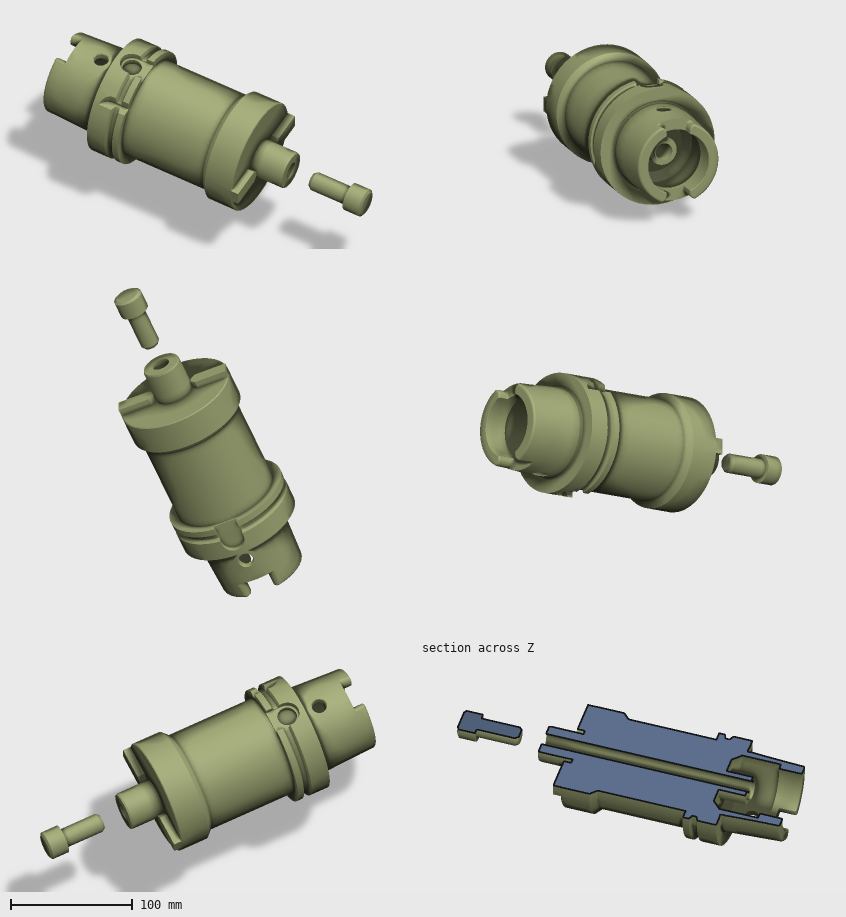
import cadquery as cq


SHANK_LENGTH = 50.0
TAPER_BIG_D = 75.3
TAPER_RATIO = 0.1
SHANK_TIP_FILLET = 2.0
NECK_LENGTH = 3.0

UNDERCUT_RAMP_LENGTH = 1.0
UNDERCUT_D = 74.7
UNDERCUT_FACE_DEPTH = 0.4
UNDERCUT_FACE_D = 78.8
UNDERCUT_FILLET = 1.4

BORE_D = 53.0
BORE_MOUTH_D = 53.8
BORE_LIP_LENGTH = 20.0
CHAMBER_D = 63.0
CHAMBER_FLOOR_D = 49.2
CHAMBER_FLOOR_X = 10.0

SPIGOT_D = 24.0
SPIGOT_SHOULDER_X = -12.8
SPIGOT_TIP_D = 16.5
SPIGOT_TIP_X = -15.3
THROUGH_BORE_D = 14.5

DRIVE_SLOT_WIDTH = 20.0
DRIVE_SLOT_MOUTH_R = 5.0
DRIVE_SLOT_FLOOR_FILLET = 1.6
DRIVE_SLOT_TIP_FILLET = 1.5
UPPER_DRIVE_SLOT_DEPTH = 10.0
LOWER_DRIVE_SLOT_DEPTH = 15.0
CROSS_HOLE_D = 12.0
CROSS_HOLE_X = -14.7
CROSS_HOLE_CHAMFER = 0.6

FLANGE_D = 100.0
FLANGE_LENGTH = 29.0
GROOVE_CENTRE_X = 20.1
GROOVE_D = 92.0
GROOVE_FLOOR_WIDTH = 3.6
GROOVE_MOUTH_WIDTH = 7.0

FLANGE_SLOT_WIDTH = 20.0
FLANGE_SLOT_END_X = 14.5
KEYWAY_FLOOR_Z = 44.0
CHIP_HOLE_D = 16.0
CHIP_HOLE_DEPTH = 5.0
NOTCH_WALL_Y = -31.5
NOTCH_FLOOR_Z = 31.5

BODY_D = 85.0
HEAD_D = 96.0
HEAD_X = 110.0
HEAD_END_X = 135.0
HEAD_CHAMFER = 0.7

PILOT_D = 31.75
PILOT_END_X = 164.5
PILOT_CHAMFER_LENGTH = 1.6
PILOT_CHAMFER_DEPTH = 0.6
PILOT_NECK_D = 31.35
PILOT_NECK_LENGTH = 2.0
KEY_WIDTH = 12.7
KEY_HEIGHT = 6.35
KEY_OUTER_Y = 47.6
KEY_INNER_Y = 16.6
KEY_INNER_CHAMFER = 4.0

SCREW_D = 16.0
SCREW_TIP_X = 184.5
SCREW_TIP_D = 12.0
SCREW_TIP_LENGTH = 2.7
SCREW_HEAD_D = 24.0
SCREW_HEAD_X = 220.0
SCREW_END_X = 236.0
SCREW_HEAD_CHAMFER_LENGTH = 1.6
SCREW_HEAD_CHAMFER_DEPTH = 2.4

EDGE_TOLERANCE = 0.1


def turned(profile):
    """Revolve a list of (x, diameter) corners about the X axis."""
    corners = [(x, diameter / 2) for x, diameter in profile]
    closed = [(corners[0][0], 0)] + corners + [(corners[-1][0], 0)]
    return cq.Workplane("XY").polyline(closed).close().revolve(360, (0, 0, 0), (1, 0, 0))


def box(x_range, y_range, z_range):
    """Box between the given limits along each axis."""
    sizes = [high - low for low, high in (x_range, y_range, z_range)]
    corner = (x_range[0], y_range[0], z_range[0])
    return cq.Workplane("XY").box(*sizes, centered=False).translate(corner)


def taper_d(x):
    """Diameter of the shank taper at X."""
    return TAPER_BIG_D + TAPER_RATIO * (x + NECK_LENGTH)


def is_undercut_corner(edge):
    """True for the inner corner at the bottom of the undercut."""
    if edge.geomType() != "CIRCLE" or edge.Center().x < 0:
        return False
    return abs(edge.radius() - UNDERCUT_D / 2) < EDGE_TOLERANCE


def tip_d():
    """Diameter of the taper at the shank's tip, before rounding."""
    return taper_d(-SHANK_LENGTH)


def turned_arbor():
    tip_x = -SHANK_LENGTH
    neck_end_x = PILOT_NECK_LENGTH + HEAD_END_X
    arbor = turned([
        (tip_x, tip_d()),
        (-NECK_LENGTH, TAPER_BIG_D),
        (UNDERCUT_RAMP_LENGTH - NECK_LENGTH, UNDERCUT_D),
        (UNDERCUT_FACE_DEPTH, UNDERCUT_D),
        (UNDERCUT_FACE_DEPTH, UNDERCUT_FACE_D - 2 * UNDERCUT_FACE_DEPTH),
        (0, UNDERCUT_FACE_D),
        (0, FLANGE_D),
        (GROOVE_CENTRE_X - GROOVE_MOUTH_WIDTH / 2, FLANGE_D),
        (GROOVE_CENTRE_X - GROOVE_FLOOR_WIDTH / 2, GROOVE_D),
        (GROOVE_CENTRE_X + GROOVE_FLOOR_WIDTH / 2, GROOVE_D),
        (GROOVE_CENTRE_X + GROOVE_MOUTH_WIDTH / 2, FLANGE_D),
        (FLANGE_LENGTH, FLANGE_D),
        (FLANGE_LENGTH, BODY_D),
        (HEAD_X - (HEAD_D - BODY_D) / 2, BODY_D),
        (HEAD_X, HEAD_D),
        (HEAD_END_X - HEAD_CHAMFER, HEAD_D),
        (HEAD_END_X, HEAD_D - 2 * HEAD_CHAMFER),
        (HEAD_END_X, PILOT_NECK_D),
        (neck_end_x, PILOT_NECK_D),
        (neck_end_x, PILOT_D),
        (PILOT_END_X - PILOT_CHAMFER_LENGTH, PILOT_D),
        (PILOT_END_X, PILOT_D - 2 * PILOT_CHAMFER_DEPTH),
    ])
    undercut_corner = [edge for edge in arbor.edges().vals() if is_undercut_corner(edge)]
    arbor = arbor.newObject(undercut_corner).fillet(UNDERCUT_FILLET)
    return arbor.faces("<X").edges().fillet(SHANK_TIP_FILLET)


def clamping_bore():
    """Bore, undercut chamber and the annular space around the coolant spigot."""
    mouth_x = -SHANK_LENGTH
    lip_x = mouth_x + BORE_LIP_LENGTH
    cavity = turned([
        (mouth_x, BORE_MOUTH_D),
        (mouth_x + (BORE_MOUTH_D - BORE_D) / 2, BORE_D),
        (lip_x, BORE_D),
        (lip_x, CHAMBER_D),
        (CHAMBER_FLOOR_X - (CHAMBER_D - CHAMBER_FLOOR_D) / 2, CHAMBER_D),
        (CHAMBER_FLOOR_X, CHAMBER_FLOOR_D),
    ])
    spigot = turned([
        (SPIGOT_TIP_X, SPIGOT_TIP_D),
        (SPIGOT_SHOULDER_X, SPIGOT_TIP_D),
        (SPIGOT_SHOULDER_X, SPIGOT_D),
        (CHAMBER_FLOOR_X, SPIGOT_D),
    ])
    return cavity.cut(spigot)


def drive_slot(depth):
    """Cutter for a slot through the +Z wall of the shank, open at the tip.

    Its walls flare out by quarter rounds towards the taper surface, its floor corners are
    filleted, and a plate in front of the tip carries the rounding of the tip edges.
    """
    half = DRIVE_SLOT_WIDTH / 2
    r = DRIVE_SLOT_MOUTH_R
    flare = half + r
    flare_z = (tip_d() ** 2 / 4 - flare ** 2) ** 0.5
    outer_y = DRIVE_SLOT_WIDTH
    outer_z = FLANGE_D / 2
    slot = (
        cq.Workplane("YZ", origin=(-SHANK_LENGTH, 0, 0))
        .moveTo(-half, 0)
        .lineTo(-half, flare_z - r)
        .radiusArc((-flare, flare_z), -r)
        .lineTo(-outer_y, flare_z)
        .lineTo(-outer_y, outer_z)
        .lineTo(outer_y, outer_z)
        .lineTo(outer_y, flare_z)
        .lineTo(flare, flare_z)
        .radiusArc((half, flare_z - r), -r)
        .lineTo(half, 0)
        .close()
        .extrude(depth)
    )
    floor = slot.faces(">X").edges("(not <Y) and (not >Y) and (not <Z) and (not >Z)")
    slot = floor.fillet(DRIVE_SLOT_FLOOR_FILLET)
    plate = box(
        (-SHANK_LENGTH - DRIVE_SLOT_TIP_FILLET, -SHANK_LENGTH), (-outer_y, outer_y), (0, outer_z)
    )
    slot = slot.union(plate)
    inside = cq.selectors.BoxSelector(
        (-SHANK_LENGTH - EDGE_TOLERANCE, -outer_y + EDGE_TOLERANCE, EDGE_TOLERANCE),
        (-SHANK_LENGTH + EDGE_TOLERANCE, outer_y - EDGE_TOLERANCE, outer_z - EDGE_TOLERANCE),
    )
    return slot.edges(inside).fillet(DRIVE_SLOT_TIP_FILLET)


def flange_slot(centre_y, floor_z):
    """Slot with a round end, open at the flange's rear face, with a flat floor facing +Z."""
    half = FLANGE_SLOT_WIDTH / 2
    height = FLANGE_D / 2 - floor_z
    return (
        cq.Workplane("XY", origin=(0, centre_y, floor_z))
        .moveTo(FLANGE_LENGTH, -half)
        .lineTo(FLANGE_SLOT_END_X, -half)
        .threePointArc((FLANGE_SLOT_END_X - half, 0), (FLANGE_SLOT_END_X, half))
        .lineTo(FLANGE_LENGTH, half)
        .close()
        .extrude(height)
    )


def z_hole(x, diameter, low_z, high_z):
    """Cylinder along Z for cutting a hole."""
    return cq.Workplane("XY", origin=(x, 0, low_z)).circle(diameter / 2).extrude(high_z - low_z)


def cross_hole():
    """Hole through the +Z wall of the shank, with a 45 degree countersink at the taper surface."""
    mouth_z = taper_d(CROSS_HOLE_X) / 2
    outer_z = TAPER_BIG_D / 2
    mouth_d = CROSS_HOLE_D + 2 * CROSS_HOLE_CHAMFER
    cone_top_z = mouth_z - CROSS_HOLE_CHAMFER
    hole = z_hole(CROSS_HOLE_X, CROSS_HOLE_D, BORE_D / 2, mouth_z)
    mouth = z_hole(CROSS_HOLE_X, mouth_d, cone_top_z - CROSS_HOLE_CHAMFER, outer_z)
    mouth = mouth.faces("<Z").chamfer(CROSS_HOLE_CHAMFER)
    return hole.union(mouth)


def driving_key():
    """Key on the head face at -Y, with its inner corners chamfered."""
    key = box(
        (HEAD_END_X - HEAD_CHAMFER, HEAD_END_X + KEY_HEIGHT),
        (-KEY_OUTER_Y, -KEY_INNER_Y),
        (-KEY_WIDTH / 2, KEY_WIDTH / 2),
    )
    return key.edges("|X and >Y").chamfer(KEY_INNER_CHAMFER)


def make_arbor():
    arbor = turned_arbor()
    for angle in (0, 180):
        arbor = arbor.union(driving_key().rotate((0, 0, 0), (1, 0, 0), angle))
    arbor = arbor.cut(clamping_bore())
    arbor = arbor.cut(turned([(SPIGOT_TIP_X, THROUGH_BORE_D), (PILOT_END_X, THROUGH_BORE_D)]))
    arbor = arbor.cut(drive_slot(UPPER_DRIVE_SLOT_DEPTH))
    arbor = arbor.cut(drive_slot(LOWER_DRIVE_SLOT_DEPTH).mirror("XY"))

    arbor = arbor.cut(cross_hole()).cut(cross_hole().mirror("XY"))

    keyway = flange_slot(0, KEYWAY_FLOOR_Z)
    arbor = arbor.cut(keyway).cut(keyway.mirror("XY"))
    arbor = arbor.cut(
        z_hole(FLANGE_SLOT_END_X, CHIP_HOLE_D, KEYWAY_FLOOR_Z - CHIP_HOLE_DEPTH, KEYWAY_FLOOR_Z)
    )
    return arbor.cut(flange_slot(NOTCH_WALL_Y - FLANGE_SLOT_WIDTH / 2, NOTCH_FLOOR_Z))


def make_screw():
    return turned([
        (SCREW_TIP_X, SCREW_TIP_D),
        (SCREW_TIP_X + SCREW_TIP_LENGTH, SCREW_D),
        (SCREW_HEAD_X, SCREW_D),
        (SCREW_HEAD_X, SCREW_HEAD_D),
        (SCREW_END_X - SCREW_HEAD_CHAMFER_LENGTH, SCREW_HEAD_D),
        (SCREW_END_X, SCREW_HEAD_D - 2 * SCREW_HEAD_CHAMFER_DEPTH),
    ])


arbor = make_arbor()
screw = make_screw()

result = cq.Compound.makeCompound([arbor.val(), screw.val()])